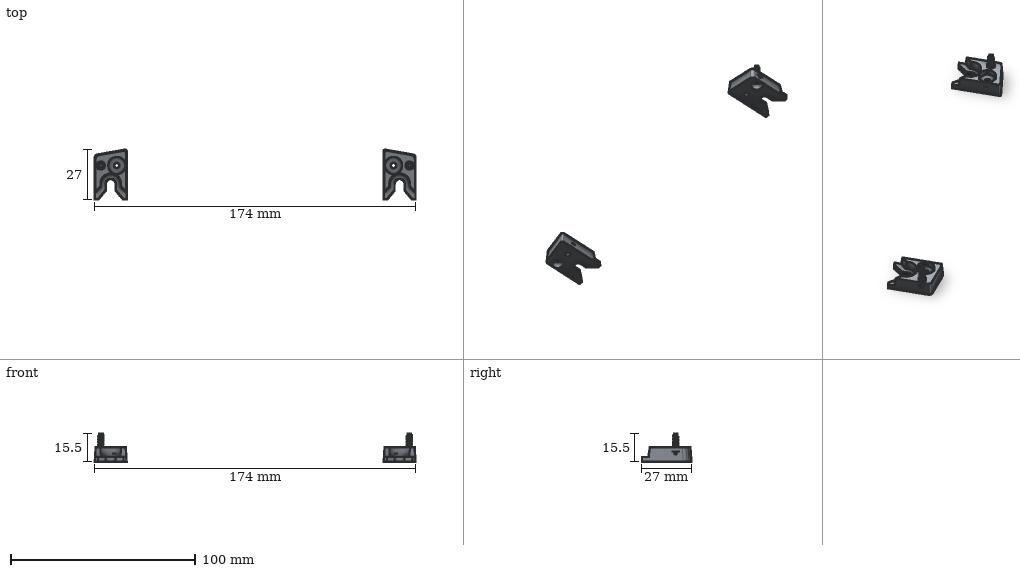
import cadquery as cq
import math

overall_width = 174.0
overall_height = 15.5

block_width = 17.4
block_height = 8.0
peak_y = 27.0
back_slope = 10.0
outer_corner_radius = 2.0
inner_corner_radius = 1.0
draft = 3.5
front_excess = 1.0

plate_thickness = 2.7
fork_x = block_width / 2
fork_y = 8.4
slot_diameter = 5.3
slot_throat_y = 4.9
slot_flare = 40.0
recess_diameter = 10.6
recess_throat_y = 6.8
recess_flare = 45.0

pocket_x = 12.0
feature_y = 18.4
pocket_diameter = 9.3
pocket_depth = 3.4
pocket_hole_diameter = 2.8

screw_x = 3.4
screw_hole_diameter = 4.2
head_recess_diameter = 6.3
head_top = 5.5

head_diameter = 5.3
head_height = 1.3
core_diameter = 2.0
thread_diameter = 3.0
thread_pitch = 1.57
thread_turns = 5
thread_end_gap = 1.0
thread_root_width = 0.5
thread_crest_width = 0.1
thread_root_sink = 0.1


def cylinder(x, y, z, diameter, height):
    return cq.Workplane("XY", origin=(x, y, z)).circle(diameter / 2).extrude(height)


def fork_cutter(diameter, throat_y, flare, floor_z):
    """Round-ended channel that flares open through the front of the block."""
    radius = diameter / 2
    mouth_half = radius + (throat_y + front_excess) * math.tan(math.radians(flare))
    return (
        cq.Workplane("XY", origin=(fork_x, 0, floor_z))
        .moveTo(-mouth_half, -front_excess)
        .lineTo(-radius, throat_y)
        .lineTo(-radius, fork_y)
        .threePointArc((0, fork_y + radius), (radius, fork_y))
        .lineTo(radius, throat_y)
        .lineTo(mouth_half, -front_excess)
        .close()
        .extrude(block_height, taper=-draft)
    )


def round_corner(body, x, y, radius):
    """Round the upright edge that starts near (x, y) at the base."""
    nearest_edge = cq.selectors.NearestToPointSelector((x, y, block_height / 2))
    return body.edges(nearest_edge).fillet(radius)


def make_blank():
    """Drafted block with a sloping back, before any cuts."""
    slope = math.radians(back_slope)
    half_corner_turn = (math.pi / 2 + slope) / 2
    inner_corner_y = peak_y + inner_corner_radius * (math.tan(half_corner_turn) - 1)
    outer_corner_y = inner_corner_y - block_width * math.tan(slope)
    outline = [
        (0, -front_excess),
        (block_width, -front_excess),
        (block_width, inner_corner_y),
        (0, outer_corner_y),
    ]
    body = cq.Workplane("XY").polyline(outline).close().extrude(block_height, taper=draft)
    body = round_corner(body, 0, outer_corner_y, outer_corner_radius)
    body = round_corner(body, block_width, inner_corner_y, inner_corner_radius)

    envelope = cq.Workplane("XY").box(block_width, inner_corner_y, block_height, centered=False)
    return body.intersect(envelope)


def make_block():
    """Left-hand block with its outer front corner at the origin."""
    body = make_blank()

    body = body.cut(fork_cutter(slot_diameter, slot_throat_y, slot_flare, 0))
    body = body.cut(fork_cutter(recess_diameter, recess_throat_y, recess_flare, plate_thickness))

    pocket_floor = block_height - pocket_depth
    body = body.cut(cylinder(pocket_x, feature_y, pocket_floor, pocket_diameter, pocket_depth))
    body = body.cut(cylinder(pocket_x, feature_y, 0, pocket_hole_diameter, block_height))

    body = body.cut(cylinder(screw_x, feature_y, 0, head_recess_diameter, head_top))
    return body.cut(cylinder(screw_x, feature_y, 0, screw_hole_diameter, block_height))


def make_thread():
    """Right-hand helical ridge with a tapered section."""
    thread_length = thread_turns * thread_pitch
    thread_start = overall_height - thread_end_gap - thread_length
    root = core_diameter / 2 - thread_root_sink
    crest = thread_diameter / 2
    section = [
        (root, -thread_root_width / 2),
        (crest, -thread_crest_width / 2),
        (crest, thread_crest_width / 2),
        (root, thread_root_width / 2),
    ]
    path = cq.Workplane(cq.Wire.makeHelix(thread_pitch, thread_length, root))
    ridge = cq.Workplane("XZ").polyline(section).close().sweep(path, isFrenet=True)
    return ridge.translate((0, 0, thread_start))


def make_screw():
    """Screw standing on its head, with its axis along Z through the origin."""
    head = cylinder(0, 0, head_top - head_height, head_diameter, head_height)
    core = cylinder(0, 0, head_top, core_diameter, overall_height - head_top)
    return head.union(core).union(make_thread())


left_block = make_block().translate((-overall_width / 2, 0, 0))
right_block = left_block.mirror("YZ")

screw_offset = overall_width / 2 - screw_x
screws = [make_screw().translate((side * screw_offset, feature_y, 0)) for side in (-1, 1)]

bodies = [left_block, right_block] + screws
result = cq.Compound.makeCompound([body.solids().val() for body in bodies])